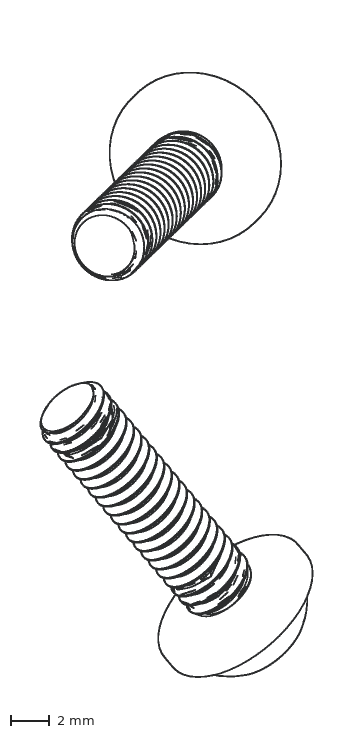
import cadquery as cq
import math


flange_radius = 4.5
flange_thickness = 1.0
flange_edge_fillet = 0.1
head_height = 3.1
dome_top_radius = 2.5
dome_sphere_radius = math.hypot(dome_top_radius, head_height)
dome_base_fillet = 0.15

shank_length = 15.0
neck_radius = 1.785
neck_fillet = 0.6
neck_end = 0.7

major_radius = 2.0
pitch = 0.7
half_flank_angle = math.radians(30)
sharp_height = pitch / 2 / math.tan(half_flank_angle)
thread_depth = sharp_height * 17 / 24
root_radius = major_radius - thread_depth
crest_flat = pitch / 8
first_crest = 0.68
runout_length = 0.45
tip_radius = 1.65
tip_chamfer_length = 0.3
ridge_overlap = 0.06
bar_overhang = 2.0
envelope_clearance = 0.3


def make_head():
    """Flange with rounded edges below a truncated spherical dome."""
    dome_base_radius = math.sqrt(dome_sphere_radius**2 - flange_thickness**2)
    mid_height = (flange_thickness + head_height) / 2
    mid_radius = math.sqrt(dome_sphere_radius**2 - mid_height**2)
    blank = (
        cq.Workplane("XY")
        .lineTo(flange_radius, 0)
        .lineTo(flange_radius, flange_thickness)
        .lineTo(dome_base_radius, flange_thickness)
        .threePointArc((mid_radius, mid_height), (dome_top_radius, head_height))
        .lineTo(0, head_height)
        .close()
        .revolve(360, (0, 0, 0), (0, 1, 0))
    )
    dome_base = cq.selectors.RadiusNthSelector(1)
    flange_rims = cq.selectors.RadiusNthSelector(-1)
    filleted_dome = blank.edges("%CIRCLE").edges(dome_base).fillet(dome_base_fillet)
    return filleted_dome.edges("%CIRCLE").edges(flange_rims).fillet(flange_edge_fillet)


def make_neck():
    """Neck with its fillet under the flange."""
    fillet_mid = neck_fillet * (1 - math.sqrt(0.5))
    return (
        cq.Workplane("XY")
        .lineTo(neck_radius + neck_fillet, 0)
        .threePointArc((neck_radius + fillet_mid, -fillet_mid), (neck_radius, -neck_fillet))
        .lineTo(neck_radius, -neck_end)
        .lineTo(0, -neck_end)
        .close()
        .revolve(360, (0, 0, 0), (0, 1, 0))
    )


def make_threaded_bar():
    """Right-hand threaded bar along -Y, longer than the finished thread at both ends."""
    base_radius = root_radius - ridge_overlap
    half_crest = crest_flat / 2
    half_base = half_crest + (major_radius - base_radius) * math.tan(half_flank_angle)
    turns = math.ceil(shank_length / pitch) + 1
    helix = cq.Wire.makeHelix(pitch, turns * pitch, base_radius)
    ridge = (
        cq.Workplane("XZ")
        .polyline([
            (base_radius, -half_base),
            (major_radius, -half_crest),
            (major_radius, half_crest),
            (base_radius, half_base),
        ])
        .close()
        .sweep(cq.Workplane(helix), isFrenet=True)
    )
    core = (
        cq.Workplane("XY")
        .workplane(offset=-bar_overhang)
        .circle(root_radius)
        .extrude(turns * pitch + 2 * bar_overhang)
    )
    return (
        core.union(ridge)
        .translate((0, 0, first_crest - pitch))
        .rotate((0, 0, 0), (1, 0, 0), 90)
    )


def make_thread_envelope():
    """Space the thread may fill: a run-out cone at the neck and a chamfer cone at the tip."""
    outer_radius = major_radius + envelope_clearance
    runout_slope = runout_length / (major_radius - neck_radius)
    chamfer_slope = tip_chamfer_length / (major_radius - tip_radius)
    runout_end = -neck_end - (outer_radius - neck_radius) * runout_slope
    chamfer_start = -shank_length + (outer_radius - tip_radius) * chamfer_slope
    return (
        cq.Workplane("XY")
        .moveTo(0, -neck_end)
        .lineTo(neck_radius, -neck_end)
        .lineTo(outer_radius, runout_end)
        .lineTo(outer_radius, chamfer_start)
        .lineTo(tip_radius, -shank_length)
        .lineTo(0, -shank_length)
        .close()
        .revolve(360, (0, 0, 0), (0, 1, 0))
    )


thread = make_threaded_bar().intersect(make_thread_envelope())
result = make_head().union(make_neck()).union(thread)